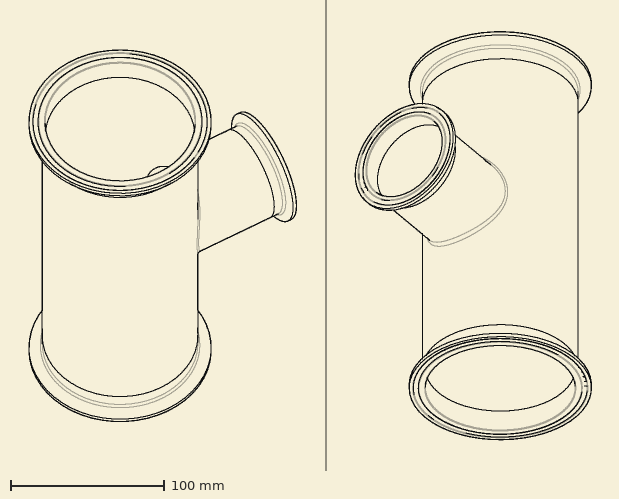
import cadquery as cq
import math


overall_length = 241.5
branch_face_y = 111.3
wall = 2.0

run_radius = 101.6 / 2
run_flange_radius = 119.0 / 2
run_ferrule_length = 15.5

branch_radius = 63.5 / 2
branch_flange_radius = 77.5 / 2
branch_ferrule_length = 12.8

saddle_fillet = 2.2

rim_thickness = 2.7
flange_slope = math.radians(20)
neck_fillet = 2.0
bore_fillet = 0.5
groove_inset = 4.3
groove_width = 3.5
groove_depth = 1.5
groove_edge_fillet = 0.5

run_tube_half_length = overall_length / 2 - run_ferrule_length
branch_tube_end_y = branch_face_y - branch_ferrule_length


def make_ferrule(neck_radius, flange_radius, length):
    """Clamp ferrule on the Z axis: clamp face at Z = 0, neck running toward -Z."""
    bore_radius = neck_radius - wall
    neck_z = -rim_thickness - (flange_radius - neck_radius) * math.tan(flange_slope)
    body = (
        cq.Workplane("XZ")
        .moveTo(bore_radius, 0)
        .lineTo(flange_radius, 0)
        .lineTo(flange_radius, -rim_thickness)
        .lineTo(neck_radius, neck_z)
        .lineTo(neck_radius, -length)
        .lineTo(bore_radius, -length)
        .close()
        .revolve(360, (0, 0, 0), (0, 1, 0))
    )
    neck_corner = body.edges("%CIRCLE").filter(lambda edge: math.isclose(edge.Center().z, neck_z))
    body = neck_corner.fillet(neck_fillet)
    body = body.faces(">Z").edges(cq.selectors.RadiusNthSelector(0)).fillet(bore_fillet)

    groove_radius = flange_radius - groove_inset
    groove = (
        cq.Workplane("XZ")
        .moveTo(groove_radius - groove_width / 2, 0)
        .threePointArc((groove_radius, -groove_depth), (groove_radius + groove_width / 2, 0))
        .close()
        .revolve(360, (0, 0, 0), (0, 1, 0))
    )
    body = body.cut(groove)
    groove_rims = (
        body.faces(">Z").edges()
        .filter(lambda edge: abs(abs(edge.radius() - groove_radius) - groove_width / 2) < groove_edge_fillet)
    )
    return groove_rims.fillet(groove_edge_fillet)


def make_tee():
    """Run tube with the branch tube blended into its side, bored through."""
    tee = cq.Workplane("XY").circle(run_radius).extrude(run_tube_half_length, both=True)
    branch = cq.Workplane("XZ").circle(branch_radius).extrude(-branch_tube_end_y)
    tee = tee.union(branch)
    saddle = tee.edges(cq.selectors.BoxSelector(
        (-run_radius, 0, -run_radius),
        (run_radius, run_radius, run_radius),
    )).edges("not %LINE")
    tee = saddle.fillet(saddle_fillet)

    run_bore = cq.Workplane("XY").circle(run_radius - wall).extrude(run_tube_half_length, both=True)
    branch_bore = cq.Workplane("XZ").circle(branch_radius - wall).extrude(-branch_tube_end_y)
    return tee.cut(run_bore).cut(branch_bore)


tee = make_tee()

run_ferrules = []
for turn in (0, 180):
    ferrule = make_ferrule(run_radius, run_flange_radius, run_ferrule_length)
    ferrule = ferrule.translate((0, 0, overall_length / 2))
    run_ferrules.append(ferrule.rotate((0, 0, 0), (1, 0, 0), turn))

branch_ferrule = (
    make_ferrule(branch_radius, branch_flange_radius, branch_ferrule_length)
    .translate((0, 0, branch_face_y))
    .rotate((0, 0, 0), (1, 0, 0), -90)
)

result = cq.Compound.makeCompound(
    [tee.val(), *[ferrule.val() for ferrule in run_ferrules], branch_ferrule.val()]
)